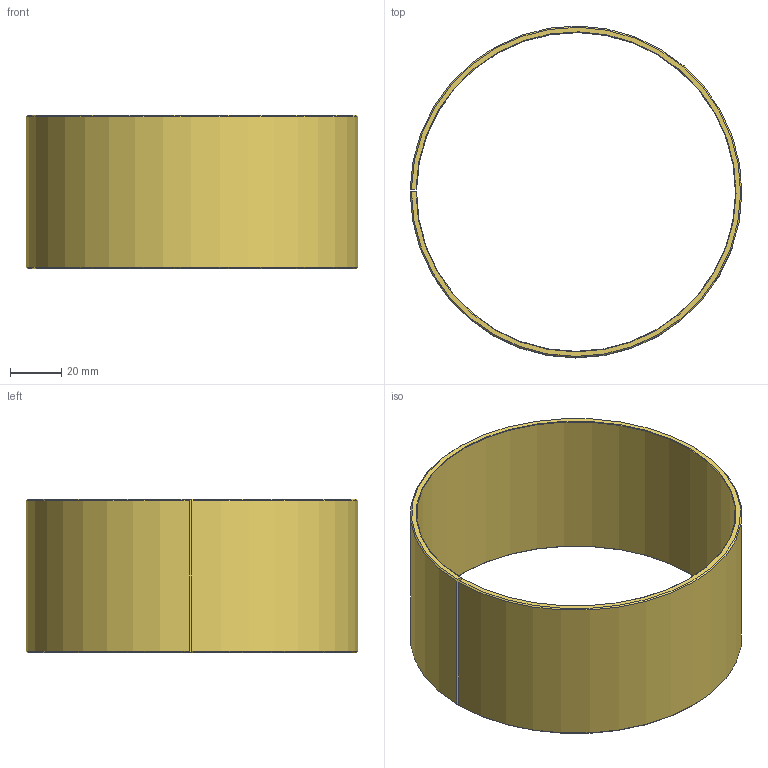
import cadquery as cq

outer_diameter = 130.0
wall = 2.5
height = 60.0
outer_chamfer = 0.5
inner_chamfer = 0.2
slit_angle = 1.0

outer_radius = outer_diameter / 2
inner_radius = outer_radius - wall


def wall_section():
    """Wall profile on the -X side, with all four corners chamfered."""
    return (
        cq.Workplane("XZ")
        .moveTo(-inner_radius - inner_chamfer, 0)
        .lineTo(-outer_radius + outer_chamfer, 0)
        .lineTo(-outer_radius, outer_chamfer)
        .lineTo(-outer_radius, height - outer_chamfer)
        .lineTo(-outer_radius + outer_chamfer, height)
        .lineTo(-inner_radius - inner_chamfer, height)
        .lineTo(-inner_radius, height - inner_chamfer)
        .lineTo(-inner_radius, inner_chamfer)
        .close()
    )


sweep_angle = 360 - slit_angle
result = wall_section().revolve(sweep_angle, (0, 0, 0), (0, 1, 0))